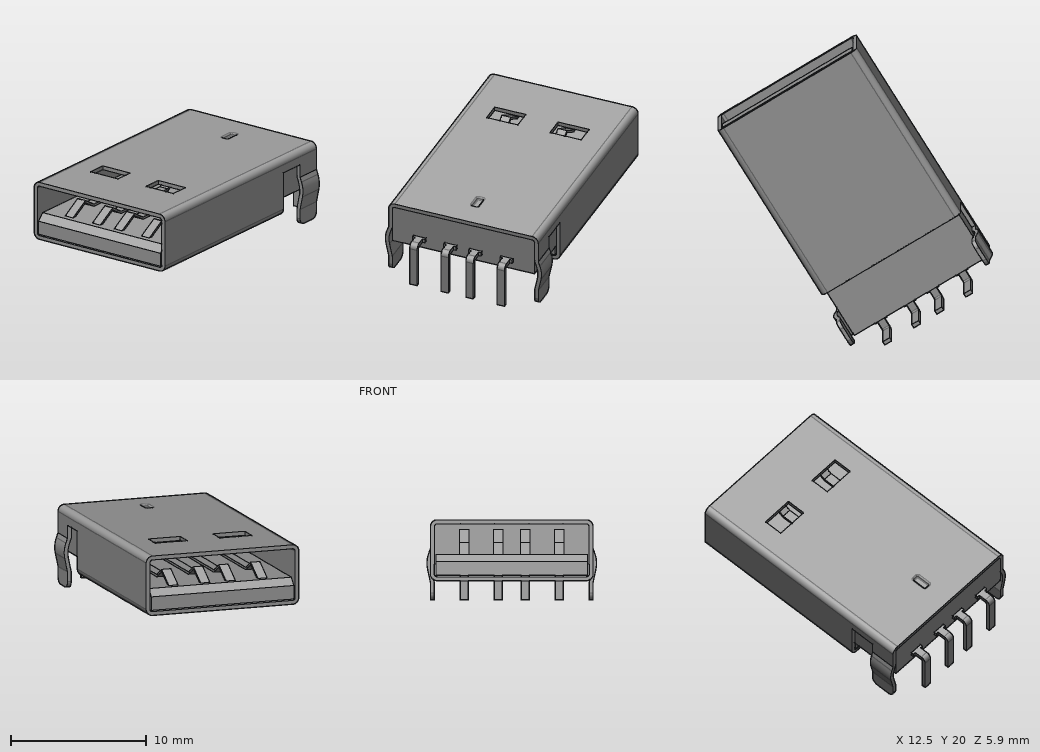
import cadquery as cq
import math


SHELL_WIDTH = 12.0
SHELL_HEIGHT = 4.5
SHELL_LENGTH = 18.8
WALL = 0.3
SHELL_CORNER_RADIUS = 0.5
CAVITY_CORNER_RADIUS = SHELL_CORNER_RADIUS - WALL
CAVITY_WIDTH = SHELL_WIDTH - 2 * WALL
CAVITY_HEIGHT = SHELL_HEIGHT - 2 * WALL
CAVITY_TOP = SHELL_HEIGHT - WALL

WINDOW_WIDTH = 2.5
WINDOW_LENGTH = 1.52
WINDOW_X = 2.55
WINDOW_Y = 4.78

DIMPLE_WIDTH = 0.48
DIMPLE_LENGTH = 1.15
DIMPLE_DEPTH = 0.2
DIMPLE_Y = 16.12
DIMPLE_CORNER_RADIUS = 0.08
DIMPLE_RIM_RADIUS = 0.12
DIMPLE_FLOOR_RADIUS = 0.05
RIM_TOLERANCE = 0.01

LEG_LENGTH = 2.05
LEG_NOTCH_LENGTH = 2.05
LEG_ROOT_Z = 3.35
LEG_BOTTOM_Z = -1.4
LEG_TIP_RADIUS = 0.5
BULGE_HEIGHT = 0.25
BULGE_RADIUS = 2.1
BULGE_TOP_Z = 2.38
BULGE_PEAK_Z = 1.3
BULGE_BOTTOM_Z = -0.15
LEG_FRONT_Y = SHELL_LENGTH - LEG_LENGTH
SHELL_FLOOR_END_Y = LEG_FRONT_Y - LEG_NOTCH_LENGTH

TONGUE_WIDTH = 11.2
TONGUE_BOTTOM_Z = 0.4
TONGUE_TOP_Z = 1.95
TONGUE_CHAMFER = 0.52
BLOCK_FRONT_Y = 12.0
BLOCK_BOTTOM_Z = 1.25

CONTACT_POSITIONS = (-3.5, -1.0, 1.0, 3.5)
CONTACT_WIDTH = 0.72
CONTACT_THICKNESS = 0.18
CONTACT_TIP_Y = 0.95
CONTACT_FLAT_Z = 2.25
CONTACT_PEAK_Z = 2.85
CONTACT_REAR_Z = 3.78
CONTACT_INSERTION = 1.0
RAMP_ANGLE = 30.0
RAMP_SLOPE = math.tan(math.radians(RAMP_ANGLE))
TERMINAL_THICKNESS = 0.3
TERMINAL_TOP_Z = 2.15
TERMINAL_BOTTOM_Z = LEG_BOTTOM_Z
TERMINAL_WIDTH = 0.6
TERMINAL_INSERTION = 2.0
TERMINAL_END_Y = 20.0
BEND_OUTER_RADIUS = 0.4
SHOULDER_WIDTH = 1.0
SHOULDER_LENGTH = 0.2


def box(width, y_range, z_range, center_x=0):
    """Block centred on center_x that spans the given Y and Z ranges."""
    length = y_range[1] - y_range[0]
    height = z_range[1] - z_range[0]
    corner = cq.Vector(center_x - width / 2, y_range[0], z_range[0])
    return cq.Workplane(cq.Solid.makeBox(width, length, height, corner))


def rounded_bar(width, height, radius):
    """Bar along the shell's length with rounded long edges, centred on the shell's axis."""
    return (
        cq.Workplane("XZ", origin=(0, 0, SHELL_HEIGHT / 2))
        .rect(width, height)
        .extrude(-SHELL_LENGTH)
        .edges("|Y")
        .fillet(radius)
    )


def tangent_point(px, pz, cx, cz, radius, side):
    """Point where the line from (px, pz) touches the circle about (cx, cz).

    A side of 1 takes the touching point clockwise from (px, pz), and -1 the other one.
    """
    bearing = math.atan2(pz - cz, px - cx)
    angle = bearing - side * math.acos(radius / math.hypot(px - cx, pz - cz))
    return cx + radius * math.cos(angle), cz + radius * math.sin(angle)


def make_leg():
    """Board leg on the +X side, bulging outwards, with rounded tip corners."""
    outer_x = SHELL_WIDTH / 2
    peak_x = outer_x + BULGE_HEIGHT
    center_x = peak_x - BULGE_RADIUS
    bulge_start = tangent_point(outer_x, BULGE_TOP_Z, center_x, BULGE_PEAK_Z, BULGE_RADIUS, 1)
    bulge_end = tangent_point(outer_x, BULGE_BOTTOM_Z, center_x, BULGE_PEAK_Z, BULGE_RADIUS, -1)

    def inner(x, z):
        """Matching point on the leg's inner face."""
        return x - WALL, z

    return (
        cq.Workplane("XZ", origin=(0, LEG_FRONT_Y, 0))
        .moveTo(outer_x, LEG_ROOT_Z)
        .lineTo(outer_x, BULGE_TOP_Z)
        .lineTo(*bulge_start)
        .radiusArc((peak_x, BULGE_PEAK_Z), BULGE_RADIUS)
        .radiusArc(bulge_end, BULGE_RADIUS)
        .lineTo(outer_x, BULGE_BOTTOM_Z)
        .lineTo(outer_x, LEG_BOTTOM_Z)
        .lineTo(*inner(outer_x, LEG_BOTTOM_Z))
        .lineTo(*inner(outer_x, BULGE_BOTTOM_Z))
        .lineTo(*inner(*bulge_end))
        .threePointArc(inner(peak_x, BULGE_PEAK_Z), inner(*bulge_start))
        .lineTo(*inner(outer_x, BULGE_TOP_Z))
        .lineTo(*inner(outer_x, LEG_ROOT_Z))
        .close()
        .extrude(-LEG_LENGTH)
        .edges("|X and <Z")
        .fillet(LEG_TIP_RADIUS)
    )


def make_dimple():
    """Cutter for the dimple: a rounded pocket with a rounded floor."""
    pocket = (
        cq.Workplane("XY", origin=(0, DIMPLE_Y, SHELL_HEIGHT))
        .rect(DIMPLE_WIDTH, DIMPLE_LENGTH)
        .extrude(-DIMPLE_DEPTH)
        .edges("|Z")
        .fillet(DIMPLE_CORNER_RADIUS)
    )
    return pocket.faces("<Z").edges().fillet(DIMPLE_FLOOR_RADIUS)


def make_shell():
    shell = rounded_bar(SHELL_WIDTH, SHELL_HEIGHT, SHELL_CORNER_RADIUS).cut(
        rounded_bar(CAVITY_WIDTH, CAVITY_HEIGHT, CAVITY_CORNER_RADIUS)
    )

    shell = shell.cut(make_dimple())
    rim = cq.selectors.BoxSelector(
        (-DIMPLE_WIDTH, DIMPLE_Y - DIMPLE_LENGTH, SHELL_HEIGHT - RIM_TOLERANCE),
        (DIMPLE_WIDTH, DIMPLE_Y + DIMPLE_LENGTH, SHELL_HEIGHT + RIM_TOLERANCE),
    )
    shell = shell.edges(rim).fillet(DIMPLE_RIM_RADIUS)

    window_y = (WINDOW_Y - WINDOW_LENGTH / 2, WINDOW_Y + WINDOW_LENGTH / 2)
    for side in (-1, 1):
        shell = shell.cut(box(WINDOW_WIDTH, window_y, (CAVITY_TOP, SHELL_HEIGHT), side * WINDOW_X))

    shell = shell.cut(box(SHELL_WIDTH, (SHELL_FLOOR_END_Y, SHELL_LENGTH), (0, LEG_ROOT_Z)))
    leg = make_leg()
    return shell.union(leg).union(leg.mirror("YZ"))


def make_contact(x):
    """Bent strip: humped front end, flat run just above the tongue, and a ramp up into the rear block."""
    peak_y = CONTACT_TIP_Y + (CONTACT_PEAK_Z - TONGUE_TOP_Z) / RAMP_SLOPE
    flat_start_y = peak_y + (CONTACT_PEAK_Z - CONTACT_FLAT_Z) / RAMP_SLOPE
    flat_end_y = BLOCK_FRONT_Y - (CONTACT_REAR_Z - CONTACT_FLAT_Z) / RAMP_SLOPE
    end_y = BLOCK_FRONT_Y + CONTACT_INSERTION
    bends = [
        (peak_y, CONTACT_PEAK_Z),
        (flat_start_y, CONTACT_FLAT_Z),
        (flat_end_y, CONTACT_FLAT_Z),
        (BLOCK_FRONT_Y, CONTACT_REAR_Z),
        (end_y, CONTACT_REAR_Z),
    ]
    underside = [(y, z - CONTACT_THICKNESS) for y, z in reversed(bends)]
    tip_top = (CONTACT_TIP_Y, TONGUE_TOP_Z)
    tip_bottom = (CONTACT_TIP_Y + CONTACT_THICKNESS / RAMP_SLOPE, TONGUE_TOP_Z)
    return (
        cq.Workplane("YZ", origin=(x, 0, 0))
        .polyline([tip_top, *bends, *underside, tip_bottom])
        .close()
        .extrude(CONTACT_WIDTH / 2, both=True)
    )


def make_terminal(x):
    """Solder terminal: strip with shoulders, leaving the block's rear and bent down."""
    bottom_z = TERMINAL_TOP_Z - TERMINAL_THICKNESS
    start_y = SHELL_LENGTH - TERMINAL_INSERTION
    shoulder_y = SHELL_LENGTH + SHOULDER_LENGTH
    inner_y = TERMINAL_END_Y - TERMINAL_THICKNESS
    bend_start_y = TERMINAL_END_Y - BEND_OUTER_RADIUS
    bend_end_z = TERMINAL_TOP_Z - BEND_OUTER_RADIUS
    tail = (
        cq.Workplane("YZ", origin=(x, 0, 0))
        .moveTo(start_y, TERMINAL_TOP_Z)
        .lineTo(bend_start_y, TERMINAL_TOP_Z)
        .radiusArc((TERMINAL_END_Y, bend_end_z), BEND_OUTER_RADIUS)
        .lineTo(TERMINAL_END_Y, TERMINAL_BOTTOM_Z)
        .lineTo(inner_y, TERMINAL_BOTTOM_Z)
        .lineTo(inner_y, bend_end_z)
        .radiusArc((bend_start_y, bottom_z), -(BEND_OUTER_RADIUS - TERMINAL_THICKNESS))
        .lineTo(start_y, bottom_z)
        .close()
        .extrude(TERMINAL_WIDTH / 2, both=True)
    )
    shoulder = box(SHOULDER_WIDTH, (start_y, shoulder_y), (bottom_z, TERMINAL_TOP_Z), x)
    return tail.union(shoulder)


def make_insulator(inserts):
    """Tongue and rear block, with a fitting recess for each of the inserts."""
    tongue = (
        box(TONGUE_WIDTH, (0, SHELL_FLOOR_END_Y), (TONGUE_BOTTOM_Z, TONGUE_TOP_Z))
        .edges("<Y and >Z")
        .chamfer(TONGUE_CHAMFER)
    )
    block = box(CAVITY_WIDTH, (BLOCK_FRONT_Y, SHELL_LENGTH), (BLOCK_BOTTOM_Z, CAVITY_TOP)).intersect(
        rounded_bar(CAVITY_WIDTH, CAVITY_HEIGHT, CAVITY_CORNER_RADIUS)
    )
    insulator = tongue.union(block)
    for insert in inserts:
        insulator = insulator.cut(insert)
    return insulator


shell = make_shell()
contacts = [make_contact(x) for x in CONTACT_POSITIONS]
terminals = [make_terminal(x) for x in CONTACT_POSITIONS]
insulator = make_insulator(contacts + terminals)

result = cq.Compound.makeCompound(
    [
        shell.val(),
        insulator.val(),
        *[contact.val() for contact in contacts],
        *[terminal.val() for terminal in terminals],
    ]
)